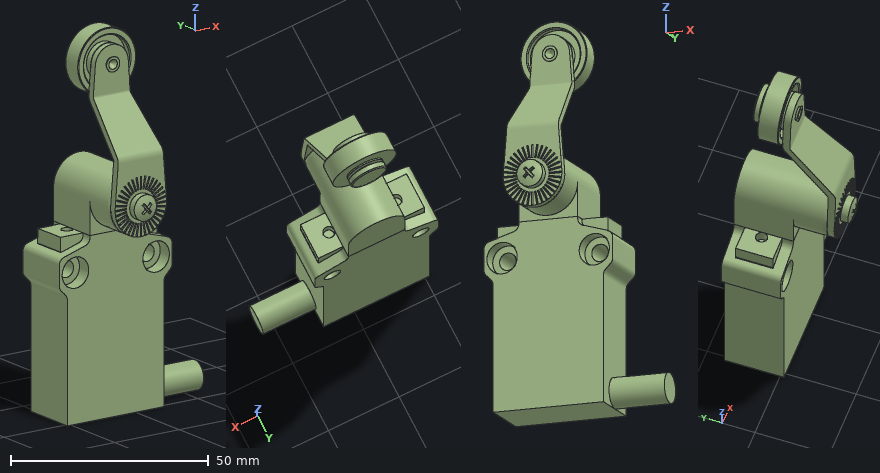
import cadquery as cq
import math

BODY_WIDTH = 30.0
BODY_DEPTH = 16.0
BODY_HEIGHT = 49.0
BACK_Y = BODY_DEPTH / 2
FRONT_Y = -BODY_DEPTH / 2

EAR_SPAN = 35.0
NECK_WIDTH = 16.0
SHOULDER_TOP_Z = 47.0
SHOULDER_END_Z = 44.2
EAR_BOTTOM_Z = 36.5
EAR_RADIUS = 2.0

BLOCK_DEPTH = 10.0
BLOCK_BOTTOM_Z = 45.0
BLOCK_HOLE_DIAMETER = 3.0
BLOCK_HOLE_SPACING = 19.0
BLOCK_HOLE_DEPTH = 3.0

MOUNT_SPACING = 25.0
MOUNT_Z = 40.0
MOUNT_DIAMETER = 4.5
MOUNT_BORE_DIAMETER = 8.2
MOUNT_BORE_DEPTH = 4.0

CABLE_DIAMETER = 8.0
CABLE_LENGTH = 15.0
CABLE_Y = -0.15
CABLE_Z = 4.05

SHAFT_Z = 58.0
BARREL_RADIUS = NECK_WIDTH / 2
BARREL_LENGTH = 24.0
COLLAR_LENGTH = 1.0
COLLAR_FRONT_RADIUS = 7.7

LEVER_THICKNESS = 2.0
LEVER_BACK_Y = BACK_Y - BARREL_LENGTH - COLLAR_LENGTH
LEVER_FRONT_Y = LEVER_BACK_Y - LEVER_THICKNESS
LEVER_OFFSET = 12.75
LEVER_BEND_Z = 70.3
BEND_INNER_RADIUS = 1.0
BEND_OUTER_RADIUS = BEND_INNER_RADIUS + LEVER_THICKNESS
BEND_ANGLE = 45.0
LEVER_TIP_RADIUS = 5.1

TOOTH_COUNT = 36
TOOTH_INNER_RADIUS = 4.5
TOOTH_OUTER_RADIUS = 7.8
TOOTH_WIDTH = 0.4
TOOTH_DEPTH = 0.25

SCREW_HEAD_DIAMETER = 7.0
SCREW_RIM_HEIGHT = 2.0
SCREW_HEAD_HEIGHT = 2.82
SCREW_SHANK_DIAMETER = 4.0
SCREW_SHANK_LENGTH = 10.0
CROSS_LENGTH = 3.4
CROSS_WIDTH = 0.7
CROSS_DEPTH = 1.0
CROSS_ANGLE = 42.0

ROLLER_RADIUS = 9.0
TOP_Z = 101.47
ROLLER_Z = TOP_Z - ROLLER_RADIUS
ROLLER_WIDTH = 5.5
ROLLER_EDGE = 0.2
RECESS_RADIUS = 7.1
RECESS_EDGE = 0.3
RECESS_DEPTH = 2.0
HUB_RADIUS = 5.0
HUB_BACK_LENGTH = 0.4

PIN_DIAMETER = 3.5
PIN_TIP_RADIUS = 2.03
PIN_TIP_LENGTH = 0.6
PIN_BORE_RADIUS = 1.3
PIN_BORE_DEPTH = 1.5
PIN_COLLAR_RADIUS = 3.1
PIN_COLLAR_LENGTH = 0.7
PIN_HEAD_RADIUS = 5.05
PIN_HEAD_LENGTH = 1.6
PIN_HEAD_EDGE = 0.3

ROLLER_FRONT_Y = LEVER_BACK_Y + LEVER_OFFSET
ROLLER_BACK_Y = ROLLER_FRONT_Y + ROLLER_WIDTH
HUB_BACK_Y = ROLLER_BACK_Y + HUB_BACK_LENGTH
TIP_FRONT_Y = LEVER_FRONT_Y + LEVER_OFFSET


def front_plane(y, z=0.0):
    """Workplane facing -Y at depth y, its local axes along X and Z."""
    return cq.Workplane("XZ", origin=(0, y, z))


def disc(y_front, y_back, radius, z):
    """Cylinder along Y between two depths."""
    return front_plane(y_back, z).circle(radius).extrude(y_back - y_front)


def turned(points, z):
    """Body of revolution about the Y axis at height z, from (radius, y) points."""
    profile = cq.Workplane("XY", origin=(0, 0, z)).polyline(points).close()
    return profile.revolve(360, (0, 0, 0), (0, 1, 0))


def make_housing():
    half_body = BODY_WIDTH / 2
    half_ears = EAR_SPAN / 2
    half_neck = NECK_WIDTH / 2
    ear_step_z = EAR_BOTTOM_Z - (half_ears - half_body)
    right_side = [
        (half_body, 0),
        (half_body, ear_step_z),
        (half_ears, EAR_BOTTOM_Z),
        (half_ears, SHOULDER_END_Z),
        (half_neck, SHOULDER_TOP_Z),
        (half_neck, BODY_HEIGHT),
    ]
    left_side = [(-x, z) for x, z in reversed(right_side)]
    body = front_plane(BACK_Y).polyline(right_side + left_side).close().extrude(BODY_DEPTH)

    corners = cq.selectors.BoxSelector(
        (-EAR_SPAN, -BODY_DEPTH, ear_step_z - EAR_RADIUS / 2),
        (EAR_SPAN, BODY_DEPTH, SHOULDER_TOP_Z + EAR_RADIUS / 2),
    )
    body = body.edges("|Y").edges(corners).fillet(EAR_RADIUS)

    block = cq.Workplane(origin=(0, 0, BLOCK_BOTTOM_Z)).rect(BODY_WIDTH, BLOCK_DEPTH)
    body = body.union(block.extrude(BODY_HEIGHT - BLOCK_BOTTOM_Z))
    for side in (-1, 1):
        hole = cq.Workplane(origin=(side * BLOCK_HOLE_SPACING / 2, 0, BODY_HEIGHT))
        body = body.cut(hole.circle(BLOCK_HOLE_DIAMETER / 2).extrude(-BLOCK_HOLE_DEPTH))

    mounts = [(-MOUNT_SPACING / 2, MOUNT_Z), (MOUNT_SPACING / 2, MOUNT_Z)]
    holes = front_plane(BACK_Y).pushPoints(mounts).circle(MOUNT_DIAMETER / 2).extrude(BODY_DEPTH)
    bores = front_plane(FRONT_Y).pushPoints(mounts).circle(MOUNT_BORE_DIAMETER / 2)
    return body.cut(holes).cut(bores.extrude(-MOUNT_BORE_DEPTH))


def make_cable():
    start = cq.Workplane("YZ", origin=(BODY_WIDTH / 2, CABLE_Y, CABLE_Z))
    return start.circle(CABLE_DIAMETER / 2).extrude(CABLE_LENGTH)


def make_head():
    neck_height = SHAFT_Z - BODY_HEIGHT
    neck = cq.Workplane(origin=(0, 0, BODY_HEIGHT)).rect(NECK_WIDTH, BODY_DEPTH).extrude(neck_height)
    barrel_front_y = BACK_Y - BARREL_LENGTH
    barrel = disc(barrel_front_y, BACK_Y, BARREL_RADIUS, SHAFT_Z)
    collar = turned(
        [
            (0, barrel_front_y),
            (BARREL_RADIUS, barrel_front_y),
            (COLLAR_FRONT_RADIUS, LEVER_BACK_Y),
            (0, LEVER_BACK_Y),
        ],
        SHAFT_Z,
    )
    screw_end_y = LEVER_FRONT_Y + SCREW_SHANK_LENGTH
    screw_hole = disc(LEVER_FRONT_Y, screw_end_y, SCREW_SHANK_DIAMETER / 2, SHAFT_Z)
    return neck.union(barrel).union(collar).cut(screw_hole)


def polar(center, radius, degrees):
    angle = math.radians(degrees)
    return (center[0] + radius * math.cos(angle), center[1] + radius * math.sin(angle))


def lever_bend(center, start_angle, half_width):
    """Sector of bent strip about an X axis through center, given as (y, z)."""
    end_angle = start_angle - BEND_ANGLE
    mid_angle = start_angle - BEND_ANGLE / 2
    sector = (
        cq.Workplane("YZ", origin=(-half_width, 0, 0))
        .moveTo(*polar(center, BEND_INNER_RADIUS, start_angle))
        .lineTo(*polar(center, BEND_OUTER_RADIUS, start_angle))
        .threePointArc(
            polar(center, BEND_OUTER_RADIUS, mid_angle), polar(center, BEND_OUTER_RADIUS, end_angle)
        )
        .lineTo(*polar(center, BEND_INNER_RADIUS, end_angle))
        .threePointArc(
            polar(center, BEND_INNER_RADIUS, mid_angle), polar(center, BEND_INNER_RADIUS, start_angle)
        )
        .close()
    )
    return sector.extrude(2 * half_width)


def lever_end(y_front, z_round, radius, z_bend, half_width, tilt):
    """Upright plate, rounded at one end and tapering to half_width at the bend.

    tilt is the signed angle in degrees from X to the point where the side leaves the round end.
    """
    side_x, side_z = polar((0, z_round), radius, tilt)
    outer_z = z_round + math.copysign(radius, z_round - z_bend)
    outline = (
        front_plane(y_front + LEVER_THICKNESS)
        .moveTo(half_width, z_bend)
        .lineTo(side_x, side_z)
        .threePointArc((0, outer_z), (-side_x, side_z))
        .lineTo(-half_width, z_bend)
        .close()
    )
    return outline.extrude(LEVER_THICKNESS)


def make_lever():
    slope = math.radians(BEND_ANGLE)
    lower = (LEVER_BACK_Y + BEND_INNER_RADIUS, LEVER_BEND_Z)
    upper_y = TIP_FRONT_Y - BEND_INNER_RADIUS
    run = upper_y - lower[0]
    rise = (BEND_INNER_RADIUS + BEND_OUTER_RADIUS + run * math.cos(slope)) / math.sin(slope)
    upper = (upper_y, LEVER_BEND_Z + rise)
    slope_foot = polar(lower, BEND_OUTER_RADIUS, 180 - BEND_ANGLE)
    slope_head = polar(upper, BEND_INNER_RADIUS, -BEND_ANGLE)
    slope_length = math.dist(slope_foot, slope_head)

    lower_length = LEVER_BEND_Z - SHAFT_Z
    upper_length = ROLLER_Z - upper[1]
    flat_length = lower_length + slope_length + upper_length
    taper = math.asin((BARREL_RADIUS - LEVER_TIP_RADIUS) / flat_length)
    lower_half = BARREL_RADIUS / math.cos(taper) - lower_length * math.tan(taper)
    upper_half = lower_half - slope_length * math.tan(taper)
    tilt = math.degrees(taper)

    slope_plane = cq.Plane(
        origin=(0, *slope_foot), xDir=(1, 0, 0), normal=(0, -math.cos(slope), math.sin(slope))
    )
    slope_plate = (
        cq.Workplane(slope_plane)
        .moveTo(lower_half, 0)
        .lineTo(upper_half, slope_length)
        .lineTo(-upper_half, slope_length)
        .lineTo(-lower_half, 0)
        .close()
        .extrude(-LEVER_THICKNESS)
    )
    lever = (
        lever_end(LEVER_FRONT_Y, SHAFT_Z, BARREL_RADIUS, LEVER_BEND_Z, lower_half, tilt)
        .union(lever_bend(lower, 180, lower_half))
        .union(slope_plate)
        .union(lever_bend(upper, 0, upper_half))
        .union(lever_end(TIP_FRONT_Y, ROLLER_Z, LEVER_TIP_RADIUS, upper[1], upper_half, tilt))
    )

    screw_hole = disc(LEVER_FRONT_Y, LEVER_BACK_Y, SCREW_SHANK_DIAMETER / 2, SHAFT_Z)
    pin_hole = disc(TIP_FRONT_Y, ROLLER_FRONT_Y, PIN_DIAMETER / 2, ROLLER_Z)
    return lever.cut(screw_hole).cut(pin_hole).cut(lever_serrations())


def lever_serrations():
    """Ring of radial V grooves sunk into the lever face."""
    groove = (
        cq.Workplane("XY", origin=(0, LEVER_FRONT_Y, SHAFT_Z + TOOTH_INNER_RADIUS))
        .moveTo(-TOOTH_WIDTH / 2, 0)
        .lineTo(TOOTH_WIDTH / 2, 0)
        .lineTo(0, TOOTH_DEPTH)
        .close()
        .extrude(TOOTH_OUTER_RADIUS - TOOTH_INNER_RADIUS)
    )
    axis_start = (0, 0, SHAFT_Z)
    axis_end = (0, 1, SHAFT_Z)
    pitch = 360 / TOOTH_COUNT
    grooves = [groove.rotate(axis_start, axis_end, i * pitch).val() for i in range(TOOTH_COUNT)]
    return cq.Workplane(cq.Compound.makeCompound(grooves))


def make_screw():
    head_radius = SCREW_HEAD_DIAMETER / 2
    shank_radius = SCREW_SHANK_DIAMETER / 2
    rim_y = LEVER_FRONT_Y - SCREW_RIM_HEIGHT
    tip_y = LEVER_FRONT_Y - SCREW_HEAD_HEIGHT
    end_y = LEVER_FRONT_Y + SCREW_SHANK_LENGTH
    dome_height = SCREW_HEAD_HEIGHT - SCREW_RIM_HEIGHT
    dome_radius = (head_radius**2 + dome_height**2) / (2 * dome_height)
    mid_radius = head_radius / 2
    mid_y = tip_y + dome_radius - math.sqrt(dome_radius**2 - mid_radius**2)
    screw = (
        cq.Workplane("XY", origin=(0, 0, SHAFT_Z))
        .moveTo(0, end_y)
        .lineTo(shank_radius, end_y)
        .lineTo(shank_radius, LEVER_FRONT_Y)
        .lineTo(head_radius, LEVER_FRONT_Y)
        .lineTo(head_radius, rim_y)
        .threePointArc((mid_radius, mid_y), (0, tip_y))
        .close()
        .revolve(360, (0, 0, 0), (0, 1, 0))
    )
    for angle in (CROSS_ANGLE, CROSS_ANGLE + 90):
        slot = front_plane(tip_y, SHAFT_Z).transformed(rotate=(0, 0, angle))
        screw = screw.cut(slot.rect(CROSS_LENGTH, CROSS_WIDTH).extrude(-CROSS_DEPTH))
    return screw


def make_roller():
    recess_y = ROLLER_FRONT_Y + RECESS_DEPTH
    bore_radius = PIN_DIAMETER / 2
    return turned(
        [
            (bore_radius, ROLLER_FRONT_Y),
            (HUB_RADIUS, ROLLER_FRONT_Y),
            (HUB_RADIUS, recess_y),
            (RECESS_RADIUS, recess_y),
            (RECESS_RADIUS, ROLLER_FRONT_Y + RECESS_EDGE),
            (RECESS_RADIUS + RECESS_EDGE, ROLLER_FRONT_Y),
            (ROLLER_RADIUS - ROLLER_EDGE, ROLLER_FRONT_Y),
            (ROLLER_RADIUS, ROLLER_FRONT_Y + ROLLER_EDGE),
            (ROLLER_RADIUS, ROLLER_BACK_Y),
            (HUB_RADIUS, ROLLER_BACK_Y),
            (HUB_RADIUS, HUB_BACK_Y),
            (bore_radius, HUB_BACK_Y),
        ],
        ROLLER_Z,
    )


def make_pin():
    stem_radius = PIN_DIAMETER / 2
    tip_y = TIP_FRONT_Y - PIN_TIP_LENGTH
    head_front_y = HUB_BACK_Y + PIN_COLLAR_LENGTH
    head_back_y = head_front_y + PIN_HEAD_LENGTH
    return turned(
        [
            (0, tip_y + PIN_BORE_DEPTH),
            (PIN_BORE_RADIUS, tip_y),
            (PIN_TIP_RADIUS, tip_y),
            (stem_radius, TIP_FRONT_Y),
            (stem_radius, HUB_BACK_Y),
            (PIN_COLLAR_RADIUS, HUB_BACK_Y),
            (PIN_COLLAR_RADIUS, head_front_y),
            (PIN_HEAD_RADIUS, head_front_y),
            (PIN_HEAD_RADIUS, head_back_y - PIN_HEAD_EDGE),
            (PIN_HEAD_RADIUS - PIN_HEAD_EDGE, head_back_y),
            (0, head_back_y),
        ],
        ROLLER_Z,
    )


housing = make_housing()
cable = make_cable()
head = make_head()
lever = make_lever()
screw = make_screw()
roller = make_roller()
pin = make_pin()

result = cq.Compound.makeCompound(
    [body.val() for body in (housing, cable, head, lever, screw, roller, pin)]
)